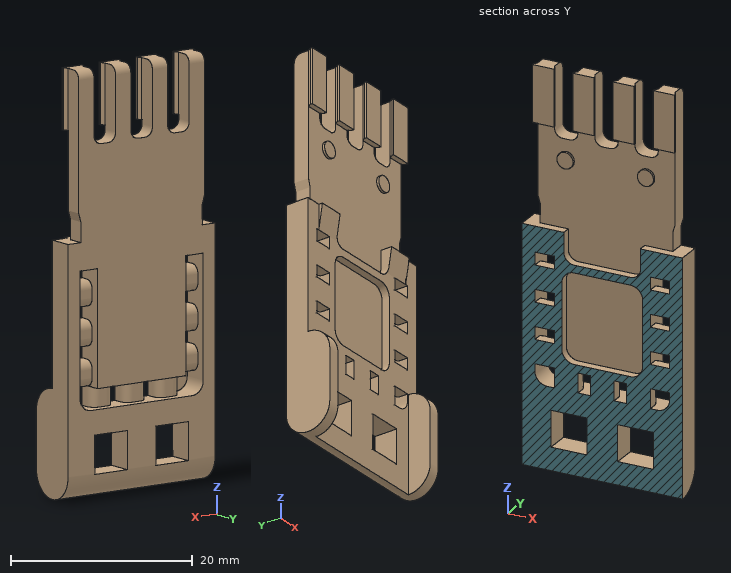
import cadquery as cq


WIDTH = 20.0
HEIGHT = 48.5
PLATE_THICKNESS = 3.0
BACK_Y = 3.0
FRONT_Y = BACK_Y - PLATE_THICKNESS

PLATE_TOP_Z = 29.2
CHEEK_THICKNESS = 1.5
CHEEK_RADIUS = 3.0
CHEEK_FRONT_Y = FRONT_Y - CHEEK_RADIUS
CHEEK_TOP_Z = 12.5

TONGUE_THICKNESS = 2.0
TONGUE_FRONT_Y = BACK_Y - TONGUE_THICKNESS
NECK_WIDTH = 16.5
NECK_TOP_Z = 31.5
SHOULDER_Z = 32.5
TIP_RADIUS = 1.0

TOOTH_COUNT = 4
TOOTH_PITCH = 5.0
TOOTH_WIDTH = 2.1
SLOT_FLOOR_Z = 40.0
SLOT_RADIUS = 1.0
TONGUE_WIDTH = (TOOTH_COUNT - 1) * TOOTH_PITCH + TOOTH_WIDTH
PAD_WIDTH = 2.65
PAD_LENGTH = 7.0
PAD_HEIGHT = 0.72
PAD_FLARE_HEIGHT = 0.45

PIN_DIAMETER = 2.0
PIN_HEIGHT = 0.3
PIN_X = 5.0
PIN_Z = 37.5

POCKET_DEPTH = PLATE_THICKNESS - TONGUE_THICKNESS
ENTRY_RADIUS = 1.25
ENTRY_WIDTH = 9.5
ENTRY_FLOOR_Z = 25.5
CHIP_WIDTH = 10.0
CHIP_BOTTOM_Z = 13.5
CHIP_TOP_Z = 24.5
CHIP_RADIUS = 1.5

LUG_OUTER_X = 8.0
LUG_HEIGHT = 0.5
LUG_BOTTOM_Z = 26.0

SLOT_WIDTH = 2.35
LACING_PITCH = 4.5
BAR_WIDTH = 3.0
BAR_EDGE_RADIUS = 1.0
BAR_THICKNESS = 2.0
ROW_TOP_Z = CHEEK_TOP_Z
ROW_BOTTOM_Z = ROW_TOP_Z - SLOT_WIDTH
SLOT_INNER_X = BAR_WIDTH / 2 + LACING_PITCH
SLOT_OUTER_X = SLOT_INNER_X + SLOT_WIDTH
SLOT_CORNER_RADIUS = 1.5
LACING_STEPS = 3

WINDOW_SIZE = 4.4
WINDOW_X = 4.15
WINDOW_Z = 5.1


def block(x_min, x_max, y_min, y_max, z_min, z_max):
    """Box given by its limits along each axis."""
    size = (x_max - x_min, y_max - y_min, z_max - z_min)
    return cq.Workplane("XY").box(*size, centered=False).translate((x_min, y_min, z_min))


def make_base():
    """Side outline with rounded foot, relieved between the cheeks down to the plate front."""
    diagonal = CHEEK_RADIUS * 0.5 ** 0.5
    shoulder_center_z = CHEEK_TOP_Z - CHEEK_RADIUS
    outline = (
        cq.Workplane("YZ", origin=(-WIDTH / 2, 0, 0))
        .moveTo(BACK_Y, CHEEK_RADIUS)
        .lineTo(BACK_Y, PLATE_TOP_Z)
        .lineTo(FRONT_Y, PLATE_TOP_Z)
        .lineTo(FRONT_Y, CHEEK_TOP_Z)
        .threePointArc((FRONT_Y - diagonal, shoulder_center_z + diagonal), (CHEEK_FRONT_Y, shoulder_center_z))
        .lineTo(CHEEK_FRONT_Y, CHEEK_RADIUS)
        .threePointArc((FRONT_Y, 0), (BACK_Y, CHEEK_RADIUS))
        .close()
        .extrude(WIDTH)
    )
    inner_x = WIDTH / 2 - CHEEK_THICKNESS
    return outline.cut(block(-inner_x, inner_x, CHEEK_FRONT_Y, FRONT_Y, 0, CHEEK_TOP_Z))


def make_tongue():
    """Necked tongue with a rounded back top edge and round-cornered slots between the teeth."""
    half_width = TONGUE_WIDTH / 2
    half_neck = NECK_WIDTH / 2
    tongue = (
        cq.Workplane("XZ", origin=(0, BACK_Y, 0))
        .polyline([
            (-half_neck, PLATE_TOP_Z), (-half_neck, NECK_TOP_Z), (-half_width, SHOULDER_Z),
            (-half_width, HEIGHT), (half_width, HEIGHT), (half_width, SHOULDER_Z),
            (half_neck, NECK_TOP_Z), (half_neck, PLATE_TOP_Z),
        ])
        .close()
        .extrude(TONGUE_THICKNESS)
        .edges(">Z and >Y").fillet(TIP_RADIUS)
    )
    half_slot = (TOOTH_PITCH - TOOTH_WIDTH) / 2
    for index in range(TOOTH_COUNT - 1):
        x = (index - (TOOTH_COUNT - 2) / 2) * TOOTH_PITCH
        slot = block(x - half_slot, x + half_slot, TONGUE_FRONT_Y, BACK_Y, SLOT_FLOOR_Z, HEIGHT)
        tongue = tongue.cut(slot.edges("|Y and <Z").fillet(SLOT_RADIUS))
    return tongue


def make_pad(x):
    """Contact pad that flares out from the tooth width and then runs straight to its face."""
    flare_y = TONGUE_FRONT_Y - PAD_FLARE_HEIGHT
    face_y = TONGUE_FRONT_Y - PAD_HEIGHT
    half_root = TOOTH_WIDTH / 2
    half_face = PAD_WIDTH / 2
    return (
        cq.Workplane("XY", origin=(x, 0, HEIGHT - PAD_LENGTH))
        .polyline([
            (-half_root, TONGUE_FRONT_Y), (-half_face, flare_y), (-half_face, face_y),
            (half_face, face_y), (half_face, flare_y), (half_root, TONGUE_FRONT_Y),
        ])
        .close()
        .extrude(PAD_LENGTH)
    )


def make_pin(side):
    """Short round pin on the front of the tongue."""
    return (
        cq.Workplane("XZ", origin=(side * PIN_X, TONGUE_FRONT_Y, PIN_Z))
        .circle(PIN_DIAMETER / 2)
        .extrude(PIN_HEIGHT)
    )


def make_lugs():
    """Bar across the plate top whose front ramps outward; the entry pocket splits it into two lugs."""
    return (
        cq.Workplane("YZ", origin=(-LUG_OUTER_X, 0, 0))
        .polyline([(FRONT_Y, LUG_BOTTOM_Z), (FRONT_Y, PLATE_TOP_Z), (FRONT_Y - LUG_HEIGHT, PLATE_TOP_Z)])
        .close()
        .extrude(2 * LUG_OUTER_X)
    )


def make_pockets():
    """Entry pocket open at the plate top, flush with the tongue, and the closed chip pocket."""
    floor_y = FRONT_Y + POCKET_DEPTH
    half_entry = ENTRY_WIDTH / 2
    entry = block(-half_entry, half_entry, FRONT_Y - LUG_HEIGHT, floor_y, ENTRY_FLOOR_Z, PLATE_TOP_Z)
    entry = entry.edges("|Y and <Z").fillet(ENTRY_RADIUS)
    chip = block(-CHIP_WIDTH / 2, CHIP_WIDTH / 2, FRONT_Y, floor_y, CHIP_BOTTOM_Z, CHIP_TOP_Z)
    return entry.union(chip.edges("|Y").fillet(CHIP_RADIUS))


def make_lacing_slots():
    """Through cutter: a tall slot on each side, joined at the bottom by a row, outer corners rounded."""
    row = block(-SLOT_OUTER_X, SLOT_OUTER_X, FRONT_Y, BACK_Y, ROW_BOTTOM_Z, ROW_TOP_Z)
    column = block(SLOT_INNER_X, SLOT_OUTER_X, FRONT_Y, BACK_Y, ROW_TOP_Z, LUG_BOTTOM_Z)
    row = row.edges("|Y and <Z").fillet(SLOT_CORNER_RADIUS)
    return row.union(column).union(column.mirror("YZ"))


def make_bars():
    """Bars crossing the lacing slots, flush in front and set in from the back with rounded back edges."""
    bar_back_y = FRONT_Y + BAR_THICKNESS
    half_bar = BAR_WIDTH / 2
    bars = cq.Workplane("XY")
    for step in range(LACING_STEPS):
        x = (step - (LACING_STEPS - 1) / 2) * LACING_PITCH
        bar = block(x - half_bar, x + half_bar, FRONT_Y, bar_back_y, ROW_BOTTOM_Z, ROW_TOP_Z)
        bars = bars.add(bar.edges("|Z and >Y").fillet(BAR_EDGE_RADIUS))
        z_min = ROW_TOP_Z + step * LACING_PITCH
        bar = block(SLOT_INNER_X, SLOT_OUTER_X, FRONT_Y, bar_back_y, z_min, z_min + BAR_WIDTH)
        bar = bar.edges("|X and >Y").fillet(BAR_EDGE_RADIUS)
        bars = bars.add(bar).add(bar.mirror("YZ"))
    return bars.combine()


def make_window(side):
    """Square through cutter near the foot."""
    half = WINDOW_SIZE / 2
    x = side * WINDOW_X
    return block(x - half, x + half, FRONT_Y, BACK_Y, WINDOW_Z - half, WINDOW_Z + half)


result = make_base().cut(make_lacing_slots()).union(make_bars())
result = result.union(make_lugs()).cut(make_pockets()).union(make_tongue())
for tooth in range(TOOTH_COUNT):
    result = result.union(make_pad((tooth - (TOOTH_COUNT - 1) / 2) * TOOTH_PITCH))
for side in (-1, 1):
    result = result.union(make_pin(side)).cut(make_window(side))